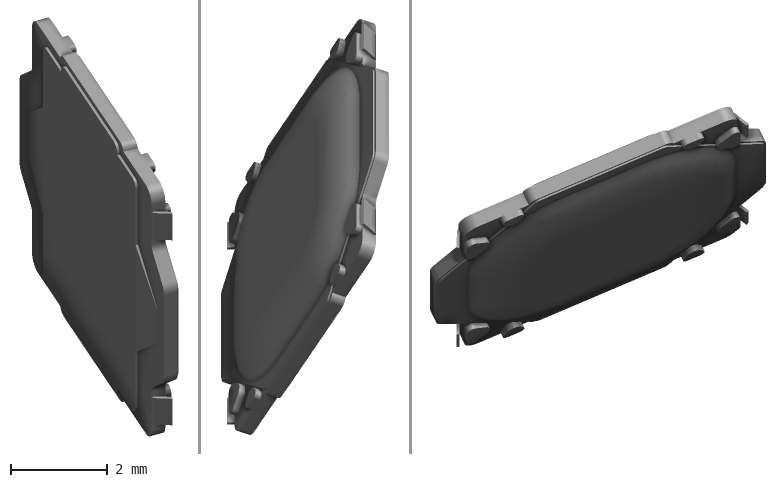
import cadquery as cq
import math


total_width = 7.5
total_height = 7.03

plate_thickness = 0.31
plate_half_height = 3.375
plate_side_x = 3.105
wing_half_width = total_width / 2
wing_half_height = 1.245
wing_root_z = wing_half_height + (wing_half_width - plate_side_x)
crown_half_width = 1.65
crown_half_height = total_height / 2
plate_corner_radius = 0.31
wing_root_radius = 0.21
wing_corner_radius = 0.3
crown_radius = 0.19

pad_height = 0.06
pad_half_width = 2.41
pad_half_height = 3.16
pad_corner_radius = 0.18
pad_crown_half_width = 1.455
pad_crown_half_height = 3.39
pad_crown_radius = 0.195
ramp_end_x = 3.41
ramp_end_half_height = 0.45
ramp_root_half_height = ramp_end_half_height + (ramp_end_x - pad_half_width)
ramp_corner_radius = 0.075

post_height = 0.135
edge_post_x = 2.05
edge_post_base = 0.66
edge_post_depth = 0.555
edge_post_base_radius = 0.11
edge_post_tip_radius = 0.19
side_post_z = 2.45
side_post_base = 1.06
side_post_depth = 0.66
side_post_base_radius = 0.13
side_post_tip_radius = 0.24

tab_z = 2.51
tab_width = 0.72
tab_foot_reach = 0.05
tab_foot_y = 0.045
tab_reach = 0.22
tab_tip_y = 0.375
tab_thickness = 0.06

sheet_inset = 0.05
sheet_half_width = wing_half_width - sheet_inset
sheet_half_height = crown_half_height - sheet_inset
sheet_side_half_height = wing_half_height - sheet_inset * math.tan(math.radians(45 / 2))
sheet_top_half_width = sheet_half_width + sheet_side_half_height - sheet_half_height
sheet_side_radius = wing_corner_radius - sheet_inset
sheet_top_radius = 0.15
sheet_thickness = 0.04
dome_height = 0.38
dome_half_width = 3.045
dome_corner_radius = 2.175
dome_rim_width = 1.215


def mirrored_outline(quarter):
    """Repeat the corners of the +X +Z quarter, listed from top to side, in all four quarters."""
    right = quarter + [(x, -z, r) for x, z, r in reversed(quarter)]
    return right + [(-x, z, r) for x, z, r in reversed(right)]


def rounded_outline(corners):
    """Closed XZ outline through (x, z, radius) corners; a radius of 0 leaves a corner sharp."""
    wire = None
    for i, (x, z, radius) in enumerate(corners):
        corner = cq.Vector(x, z)
        before = (cq.Vector(*corners[i - 1][:2]) - corner).normalized()
        after = (cq.Vector(*corners[(i + 1) % len(corners)][:2]) - corner).normalized()
        half_angle = before.getAngle(after) / 2
        setback = radius / math.tan(half_angle)
        bisector = (before + after).normalized()
        start = corner + before * setback
        middle = corner + bisector * (radius / math.sin(half_angle) - radius)
        end = corner + after * setback
        if wire is None:
            wire = cq.Workplane("XZ").moveTo(start.x, start.y)
        else:
            wire = wire.lineTo(start.x, start.y)
        if radius > 0:
            wire = wire.threePointArc((middle.x, middle.y), (end.x, end.y))
    return wire.close()


def in_mirrored_quarters(body):
    """The body together with its mirror images in X and in Z."""
    pair = body.union(body.mirror("YZ"))
    return pair.union(pair.mirror("XY"))


def make_plate():
    body = rounded_outline(mirrored_outline([
        (plate_side_x, plate_half_height, plate_corner_radius),
        (plate_side_x, wing_root_z, wing_root_radius),
        (wing_half_width, wing_half_height, wing_corner_radius),
    ])).extrude(-plate_thickness)
    crown = rounded_outline(mirrored_outline([
        (crown_half_width, crown_half_height, crown_radius),
    ])).extrude(-plate_thickness)
    return body.union(crown)


def make_pad():
    return rounded_outline(mirrored_outline([
        (pad_crown_half_width, pad_crown_half_height, pad_crown_radius),
        (pad_crown_half_width, pad_half_height, 0),
        (pad_half_width, pad_half_height, pad_corner_radius),
    ])).extrude(pad_height)


def make_ramps():
    """Slopes that fall from the pad's front face to the plate toward each side."""
    slope = (
        cq.Workplane("XY")
        .polyline([
            (-ramp_end_x, 0),
            (-pad_half_width, -pad_height),
            (pad_half_width, -pad_height),
            (ramp_end_x, 0),
        ])
        .close()
        .extrude(ramp_root_half_height, both=True)
    )
    footprint = rounded_outline(mirrored_outline([
        (pad_half_width, ramp_root_half_height, 0),
        (ramp_end_x, ramp_end_half_height, ramp_corner_radius),
    ])).extrude(pad_height)
    return slope.intersect(footprint)


def make_post(base, depth, base_radius, tip_radius):
    """Rounded triangular post with the middle of its base at the origin and its tip toward -Z."""
    outline = rounded_outline([
        (-base / 2, 0, base_radius),
        (base / 2, 0, base_radius),
        (0, -depth, tip_radius),
    ])
    return outline.extrude(-post_height).translate((0, plate_thickness, 0))


def make_edge_posts():
    post = make_post(edge_post_base, edge_post_depth, edge_post_base_radius, edge_post_tip_radius)
    return in_mirrored_quarters(post.translate((edge_post_x, 0, plate_half_height)))


def make_side_posts():
    post = make_post(side_post_base, side_post_depth, side_post_base_radius, side_post_tip_radius)
    post = post.rotate((0, 0, 0), (0, 1, 0), 90)
    return in_mirrored_quarters(post.translate((plate_side_x, 0, side_post_z)))


def make_tabs():
    lean = math.atan2(tab_reach - tab_foot_reach, tab_tip_y - tab_foot_y)
    tip_x = plate_side_x + tab_reach
    tip_inner_x = tip_x - tab_thickness * math.cos(lean)
    tip_inner_y = tab_tip_y + tab_thickness * math.sin(lean)
    foot_inner_y = tip_inner_y - (tip_inner_x - plate_side_x) / math.tan(lean)
    tab = (
        cq.Workplane("XY", origin=(0, 0, tab_z))
        .polyline([
            (plate_side_x, 0),
            (plate_side_x + tab_foot_reach, tab_foot_y),
            (tip_x, tab_tip_y),
            (tip_inner_x, tip_inner_y),
            (plate_side_x, foot_inner_y),
        ])
        .close()
        .extrude(tab_width / 2, both=True)
    )
    return in_mirrored_quarters(tab)


def make_frame():
    frame = make_plate().union(make_pad()).union(make_ramps())
    return frame.union(make_edge_posts()).union(make_side_posts()).union(make_tabs())


def make_dome():
    """Rounded square dome: its rim is one arc, tangent to the flat top, carried around the square."""
    corner_center = dome_half_width - dome_corner_radius
    rim_y = plate_thickness + sheet_thickness
    top_y = plate_thickness + dome_height
    rise = top_y - rim_y
    rim_radius = (dome_rim_width**2 + rise**2) / (2 * rise)
    middle_run = dome_rim_width / 2
    middle_y = top_y - rim_radius + math.sqrt(rim_radius**2 - middle_run**2)

    def half_profile(half_width):
        """Half section of the dome from its middle line out to its rim."""
        return (
            cq.Workplane("XY")
            .moveTo(0, plate_thickness)
            .lineTo(half_width, plate_thickness)
            .lineTo(half_width, rim_y)
            .threePointArc((half_width - middle_run, middle_y), (half_width - dome_rim_width, top_y))
            .lineTo(0, top_y)
            .close()
        )

    side = half_profile(dome_half_width).extrude(corner_center, both=True)
    corner = half_profile(dome_corner_radius).revolve(360, (0, 0, 0), (0, 1, 0))
    dome = side
    for quarter_turn in range(1, 4):
        dome = dome.union(side.rotate((0, 0, 0), (0, 1, 0), 90 * quarter_turn))
    return dome.union(in_mirrored_quarters(corner.translate((corner_center, 0, corner_center))))


def make_sheet():
    """Octagonal sheet whose slanted sides run parallel to the wings and pass inside the posts."""
    outline = rounded_outline(mirrored_outline([
        (sheet_top_half_width, sheet_half_height, sheet_top_radius),
        (sheet_half_width, sheet_side_half_height, sheet_side_radius),
    ]))
    return outline.extrude(-sheet_thickness).translate((0, plate_thickness, 0))


def make_membrane():
    return make_sheet().union(make_dome())


frame = make_frame()
membrane = make_membrane()
result = cq.Compound.makeCompound([frame.solids().val(), membrane.solids().val()])